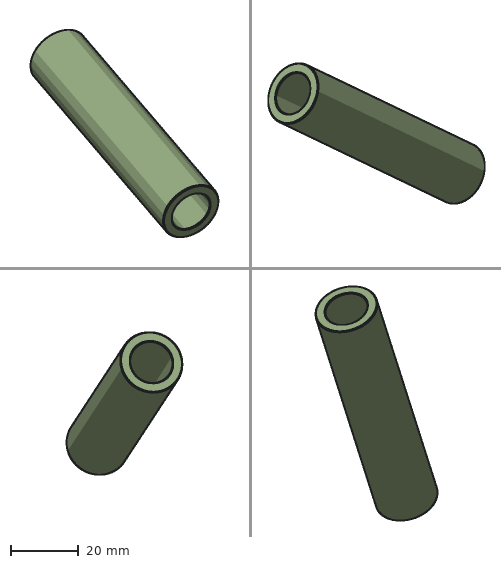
import cadquery as cq

length = 81.25
outer_diameter = 18.8
bore_diameter = 12.6
edge_chamfer = 0.3

tube = (
    cq.Workplane("YZ", origin=(-length / 2, 0, 0))
    .circle(outer_diameter / 2)
    .circle(bore_diameter / 2)
    .extrude(length)
)

result = tube.faces("<X or >X").edges().chamfer(edge_chamfer)